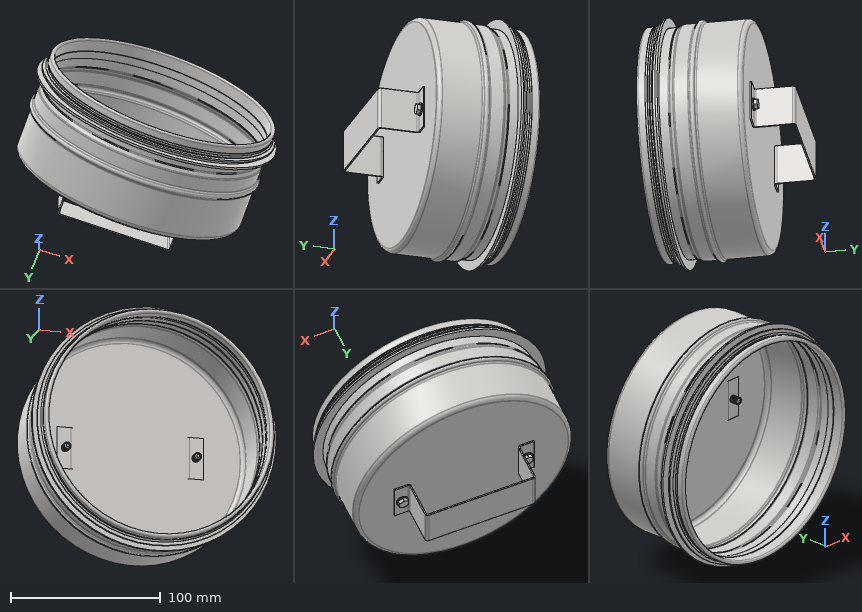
import cadquery as cq
import math


NEAR = 0.02

WALL = 0.5
BODY_RADIUS = 159.0 / 2
NECK_RADIUS = 155.3 / 2
CUP_DEPTH = 72.2
END_FILLET = 3.4
SHOULDER_FRONT = 21.9
SHOULDER_BACK = 25.2
SHOULDER_BEND = 1.7

BEAD_Y = 38.0
BEAD_RADIUS = 2.0
BEAD_ROOT_RADIUS = 1.2

RIM_BORE_RADIUS = 153.1 / 2
RIM_LENGTH = 6.1
RIM_LIP_LENGTH = 9.5

SEAL_RADIUS = 158.0 / 2
LARGE_FIN_RADIUS = 169.4 / 2
LARGE_FIN_THICKNESS = 1.5
LARGE_FIN_BACK = 15.2
SMALL_FIN_RADIUS = 164.3 / 2
SMALL_FIN_THICKNESS = 1.2
SMALL_FIN_BACK = 11.0
RIDGE_Y = 8.3
RIDGE_RADIUS = 160.6 / 2
RIDGE_HALF_WIDTH = 0.5

HANDLE_BACK = 101.0
HANDLE_WIDTH = 28.8
HANDLE_HALF_SPAN = 40.0
FOOT_END = 50.8
STRIP = 1.0
BEND_INSIDE = 1.0

SCREW_X = 45.2
SHANK_RADIUS = 5 / 2
FLANGE_RADIUS = 8.5 / 2
FLANGE_THICKNESS = 0.8
HEX_CORNERS = 7.5
HEX_HEIGHT = 2.5
THREAD_ROOT_RADIUS = 4.0 / 2
THREAD_PITCH = 1.0
THREAD_TURNS = 5
TIP_RADIUS = 2.0 / 2
TIP_LENGTH = 1.0


def revolve_about_y(sketch):
    """Turn a closed XY outline (X = radius) through a full circle."""
    return sketch.close().revolve(360, (0, 0, 0), (0, 1, 0))


def ring(inner, outer, front, back):
    outline = cq.Workplane("XY").moveTo(inner, front).lineTo(outer, front)
    return revolve_about_y(outline.lineTo(outer, back).lineTo(inner, back))


def fillet_circle(body, radius, y, fillet):
    """Round the circular edge of the given radius that lies at height y."""
    reach = radius + NEAR
    low = (-reach, y - NEAR, -reach)
    high = (reach, y + NEAR, reach)
    return body.edges(cq.selectors.BoxSelector(low, high, boundingbox=True)).fillet(fillet)


def cup_envelope(inset):
    """Solid bounded by the cup's outer surface, moved inward by inset."""
    body = BODY_RADIUS - inset
    neck = NECK_RADIUS - inset
    back = CUP_DEPTH - inset

    slope = math.atan2(BODY_RADIUS - NECK_RADIUS, SHOULDER_BACK - SHOULDER_FRONT)
    shift = inset * math.tan(slope / 2)
    shoulder_front = SHOULDER_FRONT + shift
    shoulder_back = SHOULDER_BACK + shift

    crest = BEAD_RADIUS - inset
    root = BEAD_ROOT_RADIUS + inset
    half_width = math.sqrt((crest + root) ** 2 - BEAD_ROOT_RADIUS ** 2)
    share = crest / (crest + root)
    join_half_width = half_width * share
    join_radius = BODY_RADIUS + BEAD_ROOT_RADIUS * share

    front_root = (body, BEAD_Y - half_width)
    front_join = (join_radius, BEAD_Y - join_half_width)
    back_join = (join_radius, BEAD_Y + join_half_width)
    back_root = (body, BEAD_Y + half_width)
    outline = (
        cq.Workplane("XY")
        .moveTo(0, 0)
        .lineTo(neck, 0)
        .lineTo(neck, shoulder_front)
        .lineTo(body, shoulder_back)
        .lineTo(*front_root)
        .tangentArcPoint(front_join, relative=False)
        .threePointArc((BODY_RADIUS + crest, BEAD_Y), back_join)
        .tangentArcPoint(back_root, relative=False)
        .lineTo(body, back)
        .lineTo(0, back)
    )
    envelope = revolve_about_y(outline)
    envelope = fillet_circle(envelope, body, back, END_FILLET - inset)
    envelope = fillet_circle(envelope, body, shoulder_back, SHOULDER_BEND + WALL - inset)
    return fillet_circle(envelope, neck, shoulder_front, SHOULDER_BEND + inset)


def make_rim():
    round_radius = (BODY_RADIUS - RIM_BORE_RADIUS) / 2
    outline = (
        cq.Workplane("XY")
        .moveTo(RIM_BORE_RADIUS, RIM_LIP_LENGTH)
        .lineTo(RIM_BORE_RADIUS, round_radius)
        .threePointArc((RIM_BORE_RADIUS + round_radius, 0), (BODY_RADIUS, round_radius))
        .lineTo(BODY_RADIUS, RIM_LENGTH)
        .lineTo(NECK_RADIUS, RIM_LENGTH)
        .lineTo(NECK_RADIUS, RIM_LIP_LENGTH)
    )
    return revolve_about_y(outline)


def screw_holes():
    """Cutters for the two holes through the handle feet and the cup's end face."""
    depth = WALL + STRIP
    foot_face = cq.Workplane("XZ", origin=(0, CUP_DEPTH + STRIP, 0))
    return foot_face.pushPoints([(-SCREW_X, 0), (SCREW_X, 0)]).circle(SHANK_RADIUS).extrude(depth)


def make_cup():
    front_opening = ring(0, BODY_RADIUS, 0, RIM_LENGTH)
    shell = cup_envelope(0).cut(cup_envelope(WALL)).cut(front_opening)
    return shell.union(make_rim()).cut(screw_holes())


def make_seal():
    seal = ring(NECK_RADIUS, SEAL_RADIUS, RIM_LENGTH, LARGE_FIN_BACK)
    large_fin = ring(NECK_RADIUS, LARGE_FIN_RADIUS, LARGE_FIN_BACK - LARGE_FIN_THICKNESS, LARGE_FIN_BACK)
    small_fin = ring(NECK_RADIUS, SMALL_FIN_RADIUS, SMALL_FIN_BACK - SMALL_FIN_THICKNESS, SMALL_FIN_BACK)
    ridge = revolve_about_y(
        cq.Workplane("XY")
        .moveTo(NECK_RADIUS, RIDGE_Y - RIDGE_HALF_WIDTH)
        .lineTo(SEAL_RADIUS, RIDGE_Y - RIDGE_HALF_WIDTH)
        .threePointArc((RIDGE_RADIUS, RIDGE_Y), (SEAL_RADIUS, RIDGE_Y + RIDGE_HALF_WIDTH))
        .lineTo(NECK_RADIUS, RIDGE_Y + RIDGE_HALF_WIDTH)
    )
    return seal.union(large_fin).union(small_fin).union(ridge)


def fillet_bend(strip, x, y, fillet):
    """Round the edge across the strip's width at the point (x, y)."""
    low = (x - NEAR, y - NEAR, -HANDLE_WIDTH)
    high = (x + NEAR, y + NEAR, HANDLE_WIDTH)
    return strip.edges("|Z").edges(cq.selectors.BoxSelector(low, high)).fillet(fillet)


def make_handle():
    leg_inside = HANDLE_HALF_SPAN - STRIP
    foot_top = CUP_DEPTH + STRIP
    strip = (
        cq.Workplane("XY")
        .polyline([
            (-FOOT_END, CUP_DEPTH),
            (-leg_inside, CUP_DEPTH),
            (-leg_inside, HANDLE_BACK - STRIP),
            (leg_inside, HANDLE_BACK - STRIP),
            (leg_inside, CUP_DEPTH),
            (FOOT_END, CUP_DEPTH),
            (FOOT_END, foot_top),
            (HANDLE_HALF_SPAN, foot_top),
            (HANDLE_HALF_SPAN, HANDLE_BACK),
            (-HANDLE_HALF_SPAN, HANDLE_BACK),
            (-HANDLE_HALF_SPAN, foot_top),
            (-FOOT_END, foot_top),
        ])
        .close()
        .extrude(HANDLE_WIDTH / 2, both=True)
    )
    bend_outside = BEND_INSIDE + STRIP
    for side in (-1, 1):
        strip = fillet_bend(strip, side * HANDLE_HALF_SPAN, foot_top, BEND_INSIDE)
        strip = fillet_bend(strip, side * leg_inside, CUP_DEPTH, bend_outside)
        strip = fillet_bend(strip, side * leg_inside, HANDLE_BACK - STRIP, BEND_INSIDE)
        strip = fillet_bend(strip, side * HANDLE_HALF_SPAN, HANDLE_BACK, bend_outside)
    return strip.cut(screw_holes())


def make_screw(x):
    seat = CUP_DEPTH + STRIP
    flange_top = seat + FLANGE_THICKNESS
    thread_start = CUP_DEPTH - WALL
    outline = (
        cq.Workplane("XY")
        .moveTo(0, flange_top)
        .lineTo(FLANGE_RADIUS, flange_top)
        .lineTo(FLANGE_RADIUS, seat)
        .lineTo(SHANK_RADIUS, seat)
        .lineTo(SHANK_RADIUS, thread_start)
    )
    for turn in range(THREAD_TURNS):
        turn_start = thread_start - turn * THREAD_PITCH
        outline = outline.lineTo(THREAD_ROOT_RADIUS, turn_start - THREAD_PITCH / 2)
        outline = outline.lineTo(SHANK_RADIUS, turn_start - THREAD_PITCH)
    thread_end = thread_start - THREAD_TURNS * THREAD_PITCH
    tip = thread_end - TIP_LENGTH
    outline = outline.lineTo(THREAD_ROOT_RADIUS, thread_end).lineTo(TIP_RADIUS, tip).lineTo(0, tip)
    head = (
        cq.Workplane("XZ", origin=(0, flange_top, 0))
        .transformed(rotate=(0, 0, 90))
        .polygon(6, HEX_CORNERS)
        .extrude(-HEX_HEIGHT)
    )
    return revolve_about_y(outline).union(head).translate((x, 0, 0))


cup = make_cup()
seal = make_seal()
handle = make_handle()
screws = [make_screw(x) for x in (-SCREW_X, SCREW_X)]

result = cq.Compound.makeCompound([cup.val(), seal.val(), handle.val(), *[screw.val() for screw in screws]])